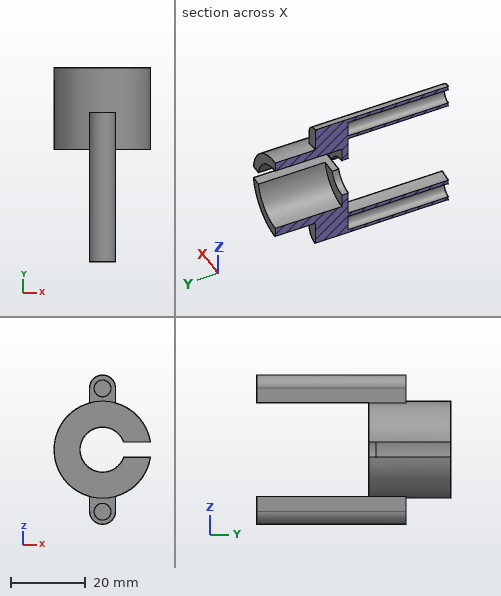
import cadquery as cq

ring_radius = 13.0
bore_radius = 6.0
ring_length = 22.0
lip_thickness = 2.0
chamber_radius = 10.0
slot_width = 4.0

arm_width = 7.0
arm_length = 40.0
arm_overlap = 10.0
arm_tip_height = 20.0
arm_tip_radius = arm_width / 2
arm_axis_height = arm_tip_height - arm_tip_radius

hole_diameter = 4.5
hole_depth = 30.0
hole_drop = 0.1

ring_front = 0.0
ring_back = ring_front + ring_length
arm_back = ring_front + arm_overlap
arm_front = arm_back - arm_length


def plane_at(y):
    """XZ sketch plane at the given Y; extrusions run toward -Y."""
    return cq.Workplane("XZ", origin=(0, y, 0))


def ring_body():
    return plane_at(ring_back).circle(ring_radius).extrude(ring_length)


def ring_cutout():
    """Lip bore, chamber behind it, and the radial slot that opens both on the +X side."""
    bore = plane_at(ring_back).circle(bore_radius).extrude(ring_length)
    chamber = plane_at(ring_back).circle(chamber_radius).extrude(ring_length - lip_thickness)
    slot = (
        plane_at(ring_back)
        .center(ring_radius / 2, 0)
        .rect(ring_radius, slot_width)
        .extrude(ring_length)
    )
    return bore.union(chamber).union(slot)


def arm(side):
    """Round-topped arm, side = 1 above or -1 below, hollowed to the ring radius."""
    block = (
        plane_at(arm_back)
        .moveTo(-arm_tip_radius, 0)
        .lineTo(-arm_tip_radius, side * arm_axis_height)
        .threePointArc((0, side * arm_tip_height), (arm_tip_radius, side * arm_axis_height))
        .lineTo(arm_tip_radius, 0)
        .close()
        .extrude(arm_length)
    )
    ring_clearance = plane_at(arm_back).circle(ring_radius).extrude(arm_length)
    hole = (
        plane_at(arm_front + hole_depth)
        .center(0, side * arm_axis_height - hole_drop)
        .circle(hole_diameter / 2)
        .extrude(hole_depth)
    )
    return block.cut(ring_clearance).cut(hole)


result = ring_body().cut(ring_cutout())
for side in (1, -1):
    result = result.union(arm(side))